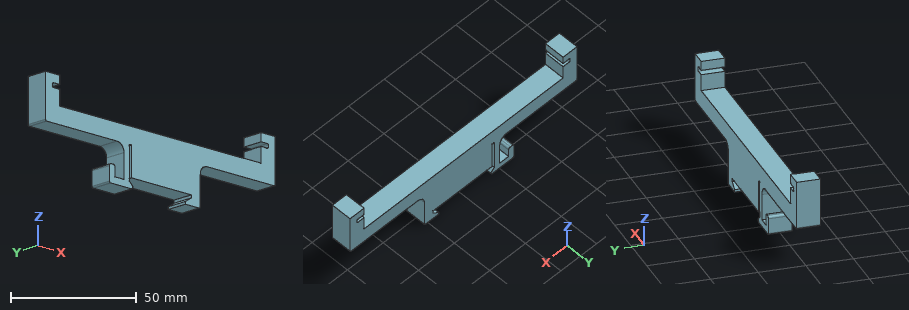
import cadquery as cq

length = 127.0
width = 10.0
height = 38.9

beam_bottom = 18.2
beam_top = 26.0
upright_thickness = 7.9
groove_depth = 4.0
groove_bottom = 33.0
groove_height = 1.9
groove_corner_radius = 0.5

block_left = 47.5
block_bottom = 4.6
block_right = 85.5
jaw_root_x = 80.5
jaw_root_z = 3.3
jaw_tip_x = 77.3
jaw_tip_z = 1.1

leg_left = 43.3
leg_right = 46.4
foot_thickness = 3.0
latch_tip_x = 48.4
latch_tip_z = 1.0
latch_bottom_x = 47.8
hook_left = 35.3
hook_thickness = 3.0
hook_top = 8.1

shoulder_radius = 4.0
beam_end_radius = 0.6
hook_tip_radius = 1.0
foot_corner_radius = 0.6
slit_end_drop = 0.4


def extrude_outline(points):
    """Extrude an outline in X and Z over the full width, starting at Y = 0."""
    return cq.Workplane("XZ").polyline(points).close().extrude(-width)


def box(left, right, bottom, top):
    """Full-width block between the given X and Z limits."""
    return extrude_outline([(left, bottom), (right, bottom), (right, top), (left, top)])


def round_edge(body, x, z, radius):
    """Round the edge that runs along Y through the given X and Z."""
    corner = cq.selectors.NearestToPointSelector((x, width / 2, z))
    return body.edges("|Y").edges(corner).fillet(radius)


def make_groove(left):
    """Cutter for the groove in an upright; it spans the two facing recesses."""
    groove = box(left, length - left, groove_bottom, groove_bottom + groove_height)
    return groove.edges("|Y").fillet(groove_corner_radius)


def make_cradle():
    cradle = box(0, length, beam_bottom, height)
    opening = box(upright_thickness, length - upright_thickness, beam_top, height)
    return cradle.cut(opening).cut(make_groove(upright_thickness - groove_depth))


def make_clip():
    hook_inner = hook_left + hook_thickness
    return extrude_outline([
        (leg_left, beam_top),
        (leg_left, foot_thickness),
        (hook_inner, foot_thickness),
        (hook_inner, hook_top),
        (hook_left, hook_top),
        (hook_left, 0),
        (latch_bottom_x, 0),
        (latch_tip_x, latch_tip_z),
        (leg_right, foot_thickness),
        (leg_right, beam_bottom),
        (block_left, beam_bottom),
        (block_left, block_bottom),
        (jaw_root_x, block_bottom),
        (jaw_root_x, jaw_root_z),
        (jaw_tip_x, jaw_tip_z),
        (jaw_tip_x, 0),
        (block_right, 0),
        (block_right, beam_top),
    ])


def make_slit_end():
    """Cutter that gives the slit a rounded top, rising into the beam."""
    slit_width = block_left - leg_right
    slit_centre = (leg_right + block_left) / 2
    end_centre_z = beam_bottom - slit_end_drop
    return (
        cq.Workplane("XZ")
        .center(slit_centre, end_centre_z)
        .circle(slit_width / 2)
        .extrude(-width)
    )


body = make_cradle().union(make_clip()).cut(make_slit_end())

rounded_edges = [
    (leg_left, beam_bottom, shoulder_radius),
    (block_right, beam_bottom, shoulder_radius),
    (0, beam_bottom, beam_end_radius),
    (length, beam_bottom, beam_end_radius),
    (hook_left, hook_top, hook_tip_radius),
    (hook_left + hook_thickness, hook_top, hook_tip_radius),
    (hook_left, 0, foot_corner_radius),
    (block_right, 0, foot_corner_radius),
]
for edge_x, edge_z, edge_radius in rounded_edges:
    body = round_edge(body, edge_x, edge_z, edge_radius)

result = body